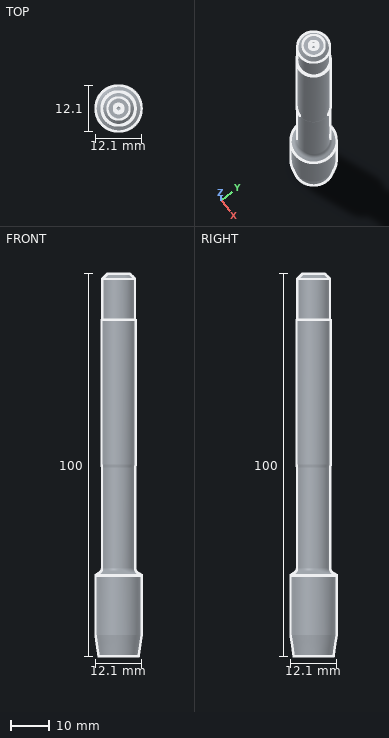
import cadquery as cq
import math

TOTAL_LENGTH = 100.0
LEAD_LENGTH = 5.5
HEAD_LENGTH = 21.0
NECK_START = 23.1
NECK_END = 49.3
GUIDE_START = 50.1
GUIDE_END = 87.8
GUIDE_CHAMFER = 0.2
END_CHAMFER = 1.4

HEAD_DIAMETER = 12.1
TIP_DIAMETER = 10.5
NECK_DIAMETER = 8.7
GUIDE_DIAMETER = 9.0
END_DIAMETER = 8.6
END_FACE_DIAMETER = 5.8

FLARE_RADIUS = 1.5
SHOULDER_SLOPE = math.radians(30)
FLARE_SWEEP = math.radians(90) - SHOULDER_SLOPE

CENTRE_DIAMETER = 1.6
COUNTERSINK_DIAMETER = 2.5
COUNTERSINK_ANGLE = 60.0
COUNTERSINK_STEP = (COUNTERSINK_DIAMETER - CENTRE_DIAMETER) / 2
COUNTERSINK_DEPTH = COUNTERSINK_STEP / math.tan(math.radians(COUNTERSINK_ANGLE / 2))
CENTRE_DEPTH = 2.0
DRILL_TIP_ANGLE = 120.0
DRILL_TIP_DEPTH = CENTRE_DIAMETER / 2 / math.tan(math.radians(DRILL_TIP_ANGLE / 2))


def revolve_about_z(profile):
    """Revolve a closed (radius, height) profile about the Z axis."""
    return profile.close().revolve(360, (0, 0, 0), (0, 1, 0))


def make_head():
    """Cylindrical head narrowing to a flat tip."""
    profile = (
        cq.Workplane("XZ")
        .lineTo(TIP_DIAMETER / 2, 0)
        .lineTo(HEAD_DIAMETER / 2, LEAD_LENGTH)
        .lineTo(HEAD_DIAMETER / 2, HEAD_LENGTH)
        .lineTo(0, HEAD_LENGTH)
    )
    return revolve_about_z(profile)


def make_shank():
    """Stepped shank with a flared shoulder and a centre hole in its end."""
    neck_radius = NECK_DIAMETER / 2
    guide_radius = GUIDE_DIAMETER / 2
    end_radius = END_DIAMETER / 2
    countersink_bottom = TOTAL_LENGTH - COUNTERSINK_DEPTH
    centre_bottom = TOTAL_LENGTH - CENTRE_DEPTH

    def flare_point(angle):
        """Point on the flare, with the angle measured from where it leaves the neck."""
        radius = neck_radius + FLARE_RADIUS * (1 - math.cos(angle))
        return radius, NECK_START - FLARE_RADIUS * math.sin(angle)

    shoulder_radius, shoulder_top = flare_point(FLARE_SWEEP)
    shoulder_width = HEAD_DIAMETER / 2 - shoulder_radius
    collar_top = shoulder_top - shoulder_width * math.tan(SHOULDER_SLOPE)

    profile = (
        cq.Workplane("XZ")
        .moveTo(0, HEAD_LENGTH)
        .lineTo(HEAD_DIAMETER / 2, HEAD_LENGTH)
        .lineTo(HEAD_DIAMETER / 2, collar_top)
        .lineTo(shoulder_radius, shoulder_top)
        .threePointArc(flare_point(FLARE_SWEEP / 2), (neck_radius, NECK_START))
        .lineTo(neck_radius, NECK_END)
        .lineTo(guide_radius, GUIDE_START)
        .lineTo(guide_radius, GUIDE_END)
        .lineTo(end_radius, GUIDE_END + GUIDE_CHAMFER)
        .lineTo(end_radius, TOTAL_LENGTH - END_CHAMFER)
        .lineTo(END_FACE_DIAMETER / 2, TOTAL_LENGTH)
        .lineTo(COUNTERSINK_DIAMETER / 2, TOTAL_LENGTH)
        .lineTo(CENTRE_DIAMETER / 2, countersink_bottom)
        .lineTo(CENTRE_DIAMETER / 2, centre_bottom)
        .lineTo(0, centre_bottom - DRILL_TIP_DEPTH)
    )
    return revolve_about_z(profile)


head = make_head()
shank = make_shank()
result = cq.Compound.makeCompound([head.val(), shank.val()])